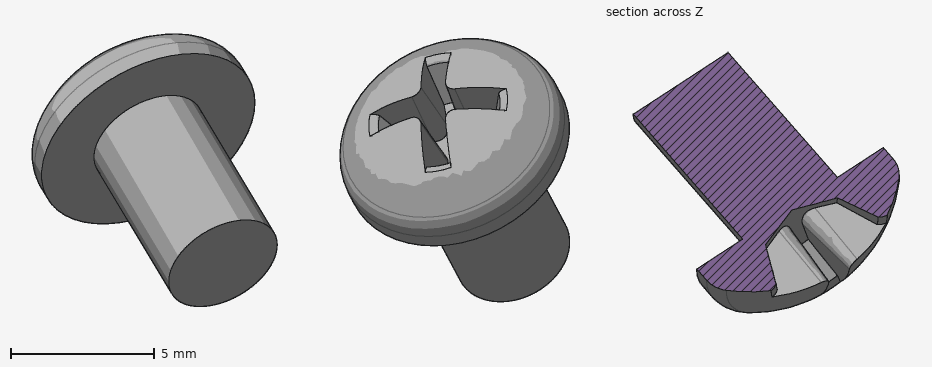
import cadquery as cq
import math

total_length = 9.21
shank_diameter = 4.16

head_diameter = 8.18
head_height = 2.87
rim_width = 0.58
shoulder_radius = 1.07
dome_radius = 5.27
dome_apex = -0.055

arm_flare = 0.043
arm_draft = 0.085
arm_half_width = 0.41
corner_reach = 0.78
arm_outline_reach = 3.22
recess_top = -0.18
recess_tip = 2.76
floor_edge = (2.2, 1.57)
taper_edge = (0.72, 2.23)
lip_radius = 2.54

axis_start = (0, 0, 0)
axis_end = (1, 0, 0)


def dome_x(radius):
    """X of the dome surface at a given distance from the axis."""
    return dome_apex + dome_radius - math.sqrt(dome_radius**2 - radius**2)


def make_screw():
    """Revolve the dome, rounded shoulder, rim and shank as one profile."""
    head_radius = head_diameter / 2
    shank_radius = shank_diameter / 2
    rim_start = head_height - rim_width
    shoulder_center = (rim_start, head_radius - shoulder_radius)
    dome_center_x = dome_apex + dome_radius

    tangent_angle = math.atan2(shoulder_center[1], dome_center_x - rim_start)
    dome_edge = (
        shoulder_center[0] - shoulder_radius * math.cos(tangent_angle),
        shoulder_center[1] + shoulder_radius * math.sin(tangent_angle),
    )
    dome_middle = (
        dome_center_x - dome_radius * math.cos(tangent_angle / 2),
        dome_radius * math.sin(tangent_angle / 2),
    )
    shoulder_angle = (tangent_angle + math.pi / 2) / 2
    shoulder_middle = (
        shoulder_center[0] - shoulder_radius * math.cos(shoulder_angle),
        shoulder_center[1] + shoulder_radius * math.sin(shoulder_angle),
    )
    return (
        cq.Workplane("XY")
        .moveTo(dome_apex, 0)
        .threePointArc(dome_middle, dome_edge)
        .threePointArc(shoulder_middle, (rim_start, head_radius))
        .lineTo(head_height, head_radius)
        .lineTo(head_height, shank_radius)
        .lineTo(total_length, shank_radius)
        .lineTo(total_length, 0)
        .close()
        .revolve(360, axis_start, axis_end)
    )


def cross_outline(x):
    """Cross-shaped wire with flared arms and rounded inner corners at one X."""
    axis_half_width = arm_half_width - arm_draft * x
    inner_half_width = axis_half_width + arm_flare * corner_reach
    outer_half_width = axis_half_width + arm_flare * arm_outline_reach

    sweep = math.pi / 2 - 2 * math.atan(arm_flare)
    chord = math.sqrt(2) * (corner_reach - inner_half_width)
    sagitta = chord / 2 * math.tan(sweep / 4)
    corner_middle = (corner_reach + inner_half_width) / 2 - sagitta / math.sqrt(2)

    outline = cq.Workplane("YZ", origin=(x, 0, 0)).moveTo(arm_outline_reach, -outer_half_width)
    for quarter in range(4):
        angle = quarter * math.pi / 2

        def turned(y, z):
            return (
                y * math.cos(angle) - z * math.sin(angle),
                y * math.sin(angle) + z * math.cos(angle),
            )

        outline = (
            outline.lineTo(*turned(arm_outline_reach, outer_half_width))
            .lineTo(*turned(corner_reach, inner_half_width))
            .threePointArc(
                turned(corner_middle, corner_middle),
                turned(inner_half_width, corner_reach),
            )
        )
        if quarter < 3:
            outline = outline.lineTo(*turned(outer_half_width, arm_outline_reach))
    return outline.close().val()


def make_recess():
    """Trim a drafted cross with a revolved envelope of floor, taper and lip."""
    cross = cq.Workplane(
        cq.Solid.makeLoft([cross_outline(recess_top), cross_outline(recess_tip)], True)
    )
    lip_end = (dome_x(lip_radius), lip_radius)

    lip_depth = taper_edge[0] - lip_end[0]
    lip_width = lip_end[1] - taper_edge[1]
    lip_arc_radius = (lip_depth**2 + lip_width**2) / (2 * lip_depth)
    half_turn = math.atan2(lip_depth, lip_width)
    lip_middle = (
        lip_end[0] + lip_arc_radius * (1 - math.cos(half_turn)),
        lip_end[1] - lip_arc_radius * math.sin(half_turn),
    )
    envelope = (
        cq.Workplane("XY")
        .moveTo(recess_top, 0)
        .lineTo(recess_top, lip_radius)
        .lineTo(*lip_end)
        .threePointArc(lip_middle, taper_edge)
        .lineTo(*floor_edge)
        .lineTo(recess_tip, 0)
        .close()
        .revolve(360, axis_start, axis_end)
    )
    return cross.intersect(envelope)


result = make_screw().cut(make_recess())